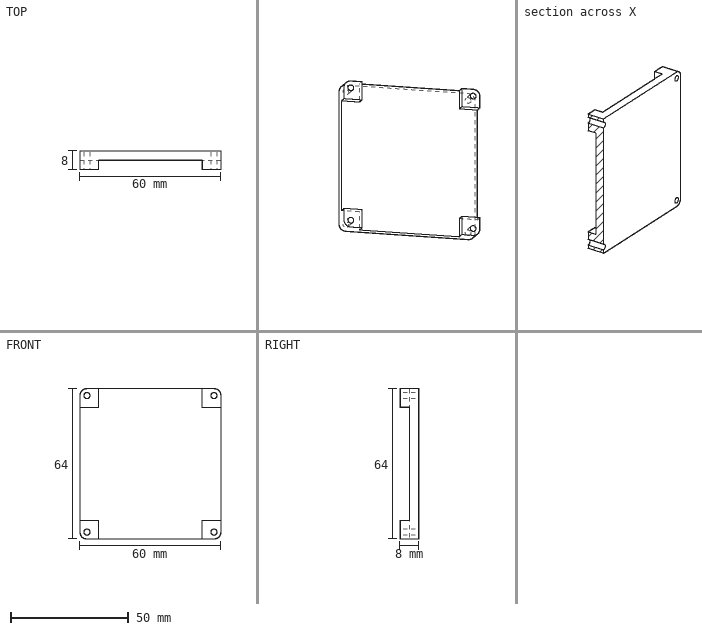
import cadquery as cq

width = 59.95
depth = 8.0
height = 64.0

plate_thickness = depth / 2
pad_size = 8.0
corner_radius = 3.0
hole_diameter = 2.5

block = cq.Workplane("XY").box(width, depth, height).edges("|Y").fillet(corner_radius)

recess_depth = depth - plate_thickness
recess_center_y = (recess_depth - depth) / 2
upright_recess = cq.Workplane("XY").box(width - 2 * pad_size, recess_depth, height)
level_recess = cq.Workplane("XY").box(width, recess_depth, height - 2 * pad_size)
recess = upright_recess.union(level_recess).translate((0, recess_center_y, 0))

holes = (
    cq.Workplane("XZ")
    .rect(width - 2 * corner_radius, height - 2 * corner_radius, forConstruction=True)
    .vertices()
    .circle(hole_diameter / 2)
    .extrude(depth / 2, both=True)
)

result = block.cut(recess).cut(holes)